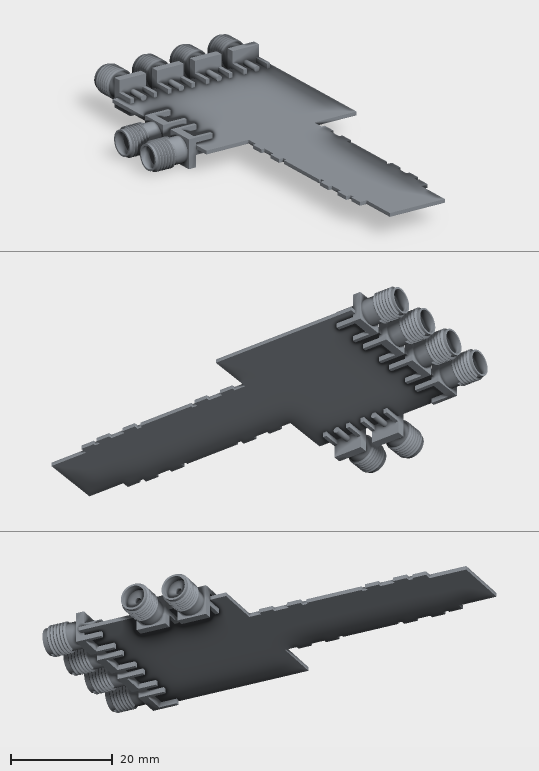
import cadquery as cq

BOARD_LENGTH = 80.0
BOARD_WIDTH = 36.0
BOARD_THICKNESS = 0.8
FIELD_LENGTH = 32.5
ARM_WIDTH = 15.8
ARM_END_WIDTH = 13.1

TAB_LENGTH = 3.0
TAB_WIDTH = 17.3
TAB_PITCH = 6.15
TAB_PAIR_STARTS = (35.05, 58.5)
NOTCH_LENGTH = 1.05
NOTCH_WIDTH = 15.3
PAD_WIDTH = 16.3
LOWER_EDGE_SHIFT = 0.2

FLANGE_SIZE = 6.35
FLANGE_THICKNESS = 1.75
BARREL_LENGTH = 7.62
BARREL_DIAMETER = 5.55
BORE_DIAMETER = 4.75
BORE_DEPTH = 2.0
CONTACT_DIAMETER = 1.27
CONTACT_HOLE_DEPTH = 1.0
PIN_DIAMETER = 1.27
PRONG_LENGTH = 3.87
PRONG_WIDTH = 0.8
PRONG_HEIGHT = 1.05

THREAD_DIAMETER = 6.35
THREADS_PER_INCH = 36
THREAD_PITCH = 25.4 / THREADS_PER_INCH
THREAD_TURNS = 6
THREAD_END_GAP = 0.75
THREAD_CREST_WIDTH = 0.1
THREAD_ROOT_WIDTH = 0.68
THREAD_ROOT_SINK = 0.05

JACK_AXIS_HEIGHT = 1.14
JACK_SPACING = 9.0
LEFT_JACK_COUNT = 4
LEFT_JACK_FIRST_Y = -13.6
LEFT_JACK_INSET = 0.6
FRONT_JACK_COUNT = 2
FRONT_JACK_FIRST_X = 17.0


def edge_strip(start, end, width, side):
    """Board material from the centre line to one arm edge; side is +1 for +Y and -1 for -Y."""
    return (
        cq.Workplane("XY")
        .box(end - start, width / 2, BOARD_THICKNESS, centered=(False, False, True))
        .translate((start, 0 if side > 0 else -width / 2, 0))
    )


def make_board():
    """Field and arm, with tabs, notches and pads along both edges of the arm."""
    first_pair, second_pair = TAB_PAIR_STARTS
    first_pair_end = first_pair + TAB_PITCH + TAB_LENGTH
    second_pair_end = second_pair + TAB_PITCH + TAB_LENGTH
    pad_start = second_pair_end + NOTCH_LENGTH
    arm_end = pad_start + TAB_LENGTH

    board = cq.Workplane("XY").box(
        BOARD_LENGTH, ARM_END_WIDTH, BOARD_THICKNESS, centered=(False, True, True)
    )
    for side in (1, -1):
        shift = LOWER_EDGE_SHIFT if side < 0 else 0
        board = board.union(edge_strip(0, FIELD_LENGTH + shift, BOARD_WIDTH, side))
        strips = [
            (FIELD_LENGTH, first_pair_end, ARM_WIDTH),
            (first_pair_end, second_pair, NOTCH_WIDTH),
            (first_pair_end + NOTCH_LENGTH, second_pair - NOTCH_LENGTH, PAD_WIDTH),
            (second_pair, second_pair_end, ARM_WIDTH),
            (second_pair_end, pad_start, NOTCH_WIDTH),
            (pad_start, arm_end, PAD_WIDTH),
        ]
        for pair_start in TAB_PAIR_STARTS:
            for tab_start in (pair_start, pair_start + TAB_PITCH):
                strips.append((tab_start, tab_start + TAB_LENGTH, TAB_WIDTH))
        for start, end, width in strips:
            board = board.union(edge_strip(start + shift, end + shift, width, side))
    return board


def make_thread():
    """One helical ridge, with its root sunk into the barrel; it runs along +Z from Z = 0."""
    root_radius = BARREL_DIAMETER / 2 - THREAD_ROOT_SINK
    crest_radius = THREAD_DIAMETER / 2
    path = cq.Wire.makeHelix(THREAD_PITCH, THREAD_TURNS * THREAD_PITCH, root_radius)
    profile = cq.Workplane("XZ").polyline(
        [
            (root_radius, -THREAD_ROOT_WIDTH / 2),
            (crest_radius, -THREAD_CREST_WIDTH / 2),
            (crest_radius, THREAD_CREST_WIDTH / 2),
            (root_radius, THREAD_ROOT_WIDTH / 2),
        ]
    ).close()
    return profile.sweep(cq.Workplane(path), isFrenet=True)


def make_jack():
    """Threaded barrel towards -X, square flange, and a pin and four prongs towards +X."""
    flange = cq.Workplane("YZ").rect(FLANGE_SIZE, FLANGE_SIZE).extrude(FLANGE_THICKNESS)
    barrel = cq.Workplane("YZ").circle(BARREL_DIAMETER / 2).extrude(-BARREL_LENGTH)
    thread = (
        make_thread()
        .rotate((0, 0, 0), (0, 1, 0), 90)
        .translate((THREAD_END_GAP - BARREL_LENGTH, 0, 0))
    )
    pin = (
        cq.Workplane("YZ", origin=(FLANGE_THICKNESS, 0, 0))
        .circle(PIN_DIAMETER / 2)
        .extrude(PRONG_LENGTH)
    )
    prong_y = (FLANGE_SIZE - PRONG_WIDTH) / 2
    lower_prong_z = (PRONG_HEIGHT - FLANGE_SIZE) / 2
    prongs = (
        cq.Workplane("YZ", origin=(FLANGE_THICKNESS, 0, 0))
        .pushPoints([(y, z) for y in (-prong_y, prong_y) for z in (0, lower_prong_z)])
        .rect(PRONG_WIDTH, PRONG_HEIGHT)
        .extrude(PRONG_LENGTH)
    )
    bore = (
        cq.Workplane("YZ", origin=(-BARREL_LENGTH, 0, 0))
        .circle(BORE_DIAMETER / 2)
        .extrude(BORE_DEPTH)
    )
    contact_hole = (
        cq.Workplane("YZ", origin=(BORE_DEPTH - BARREL_LENGTH, 0, 0))
        .circle(CONTACT_DIAMETER / 2)
        .extrude(CONTACT_HOLE_DEPTH)
    )
    return barrel.union(thread).union(flange).union(pin).union(prongs).cut(bore).cut(contact_hole)


board = make_board()
jack = make_jack()

left_jacks = []
for index in range(LEFT_JACK_COUNT):
    jack_y = LEFT_JACK_FIRST_Y + index * JACK_SPACING
    placed = jack.translate((LEFT_JACK_INSET - FLANGE_THICKNESS, jack_y, JACK_AXIS_HEIGHT))
    left_jacks.append(placed.cut(board))

front_jack = jack.rotate((0, 0, 0), (1, 0, 0), 180).rotate((0, 0, 0), (0, 0, 1), 90)
front_jacks = []
for index in range(FRONT_JACK_COUNT):
    jack_x = FRONT_JACK_FIRST_X + index * JACK_SPACING
    front_jacks.append(
        front_jack.translate((jack_x, -BOARD_WIDTH / 2 - FLANGE_THICKNESS, -JACK_AXIS_HEIGHT))
    )

jacks = [placed.val() for placed in left_jacks + front_jacks]
result = cq.Compound.makeCompound([board.val(), *jacks])